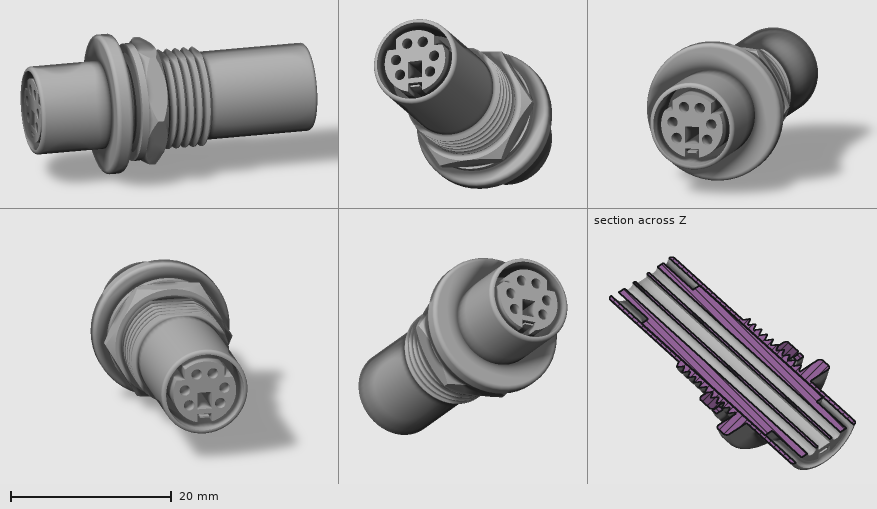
import cadquery as cq
import math


LENGTH = 35.55
HALF_LENGTH = LENGTH / 2
TUBE_RADIUS = 5.5
BORE_RADIUS = 4.98
RIM_FILLET = 0.45
FLANGE_RADIUS = 8.75
FLANGE_FRONT = -8.9
FLANGE_THICKNESS = 2.05
FLANGE_FILLET = 0.5

CREST_RADIUS = 6.25
CREST_WIDTH = 0.1
RIDGE_WIDTH = 1.0
RIDGE_COUNT = 10
FIRST_CREST = -6.15
LAST_CREST = 3.65
RIDGE_PITCH = (LAST_CREST - FIRST_CREST) / (RIDGE_COUNT - 1)
FLAT_HEIGHT = 5.65

WASHER_RADIUS = 7.35
WASHER_FRONT = -5.35
WASHER_THICKNESS = 0.85
NUT_ACROSS_FLATS = 14.08
NUT_THICKNESS = 2.6
NUT_FRONT = WASHER_FRONT + WASHER_THICKNESS
NUT_CORNER_RADIUS = NUT_ACROSS_FLATS / math.sqrt(3)
NUT_CHAMFER_HEIGHT = 0.92

FACE_RECESS = 0.18
NOSE_LENGTH = 5.7
NOSE_RADIUS = 4.02
SHOULDER_HALF_WIDTH = 2.52
SHOULDER_HEIGHT = 1.78
KEYWAY_WIDTH = 1.85
KEYWAY_TOP = -2.85
KEY_HOLE_TOP = -0.05
KEY_HOLE_BOTTOM = -2.2
CONTACT_HOLE_RADIUS = 0.68
CONTACT_HOLES = [(1.03, 2.4), (2.52, 0.4), (2.0, -1.6)]
TAB_WIDTH = 1.17
TAB_TOP = -3.15
TAB_THICKNESS = 0.2
NOSE_END = HALF_LENGTH - FACE_RECESS
CORE_END = NOSE_END - NOSE_LENGTH


def disc(radius, start, length):
    """A cylinder around the Y axis, from Y = start to start + length."""
    return cq.Workplane("XZ", origin=(0, start, 0)).circle(radius).extrude(-length)


def block(x_min, x_max, y_min, y_max, z_min, z_max):
    """A box between the given limits."""
    size = (x_max - x_min, y_max - y_min, z_max - z_min)
    return cq.Workplane("XY").box(*size, centered=False).translate((x_min, y_min, z_min))


def threaded_rod():
    """The tube's solid core with every thread ridge, without the flat."""
    half_ridge = RIDGE_WIDTH / 2
    half_crest = CREST_WIDTH / 2
    profile = cq.Workplane("XY").moveTo(0, FIRST_CREST - half_ridge)
    for i in range(RIDGE_COUNT):
        crest = FIRST_CREST + i * RIDGE_PITCH
        profile = (
            profile.lineTo(TUBE_RADIUS, crest - half_ridge)
            .lineTo(CREST_RADIUS, crest - half_crest)
            .lineTo(CREST_RADIUS, crest + half_crest)
            .lineTo(TUBE_RADIUS, crest + half_ridge)
        )
    profile = profile.lineTo(0, LAST_CREST + half_ridge).close()
    return profile.revolve(360, (0, 0, 0), (0, 1, 0))


def make_housing():
    """Tube with rounded rims, mounting flange, flatted thread and through bore."""
    above_flat = block(
        -CREST_RADIUS, CREST_RADIUS, -HALF_LENGTH, HALF_LENGTH, FLAT_HEIGHT, CREST_RADIUS
    )
    thread = threaded_rod().cut(above_flat)
    tube = disc(TUBE_RADIUS, -HALF_LENGTH, LENGTH).edges().fillet(RIM_FILLET)
    flange = disc(FLANGE_RADIUS, FLANGE_FRONT, FLANGE_THICKNESS).edges().fillet(FLANGE_FILLET)
    bore = disc(BORE_RADIUS, -HALF_LENGTH, LENGTH)
    return tube.union(thread).union(flange).cut(bore)


def make_washer():
    """Flat ring that slides over the thread."""
    ring = disc(WASHER_RADIUS, WASHER_FRONT, WASHER_THICKNESS)
    return ring.cut(disc(CREST_RADIUS, WASHER_FRONT, WASHER_THICKNESS))


def make_nut():
    """Hexagonal nut with both ends chamfered conically and a matching internal thread."""
    hexagon = (
        cq.Workplane("XZ", origin=(0, NUT_FRONT, 0))
        .polygon(6, 2 * NUT_CORNER_RADIUS)
        .extrude(-NUT_THICKNESS)
    )
    corner_cut = NUT_CORNER_RADIUS - NUT_ACROSS_FLATS / 2
    envelope = (
        disc(NUT_CORNER_RADIUS, NUT_FRONT, NUT_THICKNESS)
        .edges()
        .chamfer(NUT_CHAMFER_HEIGHT, corner_cut)
    )
    return hexagon.intersect(envelope).cut(threaded_rod())


def make_insert():
    """Contact block: core, two keyed noses with a tab in each keyway, contact and key holes."""
    core = disc(BORE_RADIUS, -CORE_END, 2 * CORE_END)
    nose = disc(NOSE_RADIUS, -NOSE_END, NOSE_LENGTH)
    half_key = KEYWAY_WIDTH / 2
    for x_min, x_max in [(-NOSE_RADIUS, -SHOULDER_HALF_WIDTH), (SHOULDER_HALF_WIDTH, NOSE_RADIUS)]:
        nose = nose.cut(block(x_min, x_max, -NOSE_END, -CORE_END, SHOULDER_HEIGHT, NOSE_RADIUS))
    nose = nose.cut(block(-half_key, half_key, -NOSE_END, -CORE_END, -NOSE_RADIUS, KEYWAY_TOP))
    tab = block(-TAB_WIDTH / 2, TAB_WIDTH / 2, -NOSE_END, -CORE_END, TAB_TOP - TAB_THICKNESS, TAB_TOP)
    nose = nose.union(tab)
    insert = core.union(nose).union(nose.mirror("XZ"))
    insert = insert.cut(block(-half_key, half_key, -NOSE_END, NOSE_END, KEY_HOLE_BOTTOM, KEY_HOLE_TOP))
    for x, z in CONTACT_HOLES:
        for side in (-1, 1):
            hole = disc(CONTACT_HOLE_RADIUS, -NOSE_END, 2 * NOSE_END).translate((side * x, 0, z))
            insert = insert.cut(hole)
    return insert


housing = make_housing()
washer = make_washer()
nut = make_nut()
insert = make_insert()

result = cq.Compound.makeCompound([housing.val(), washer.val(), nut.val(), insert.val()])